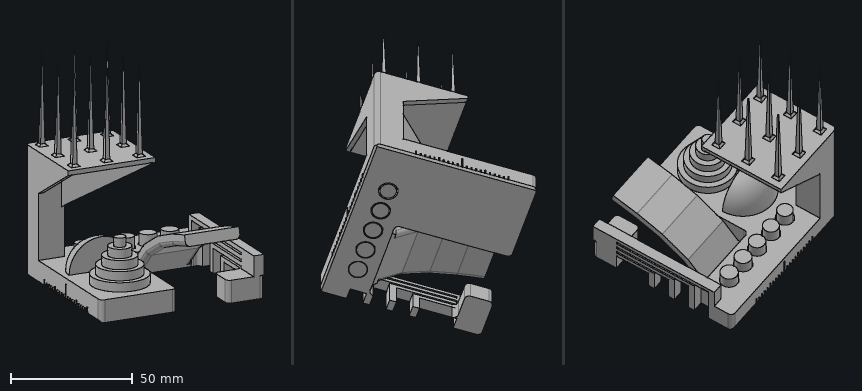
import cadquery as cq
import math

BASE_LENGTH = 70.0
BASE_WIDTH = 75.0
BASE_HEIGHT = 10.0
CORNER_RADIUS = 2.0
BOTTOM_CHAMFER = 1.0

OPENING_LEFT = 20.0
OPENING_FRONT = 35.0
RAMP_WIDTH = 25.0
SIDE_GAP = 5.0
ARM_LENGTH = 12.0
ARM_REACH = 17.0
RAMP_FRONT = OPENING_FRONT + SIDE_GAP
RAMP_BACK = RAMP_FRONT + RAMP_WIDTH
OPENING_BACK = RAMP_BACK + SIDE_GAP
ARM_LEFT = BASE_LENGTH - ARM_LENGTH
ARM_FRONT = BASE_WIDTH - ARM_REACH

RAMP_STEPS = [(45, 12.8), (30, 14.9), (20, 13.4), (15, 12.6)]
RAMP_THICKNESS = 5.0
RAMP_EDGE_RADIUS = 2.0

COLUMN_SIZE = 12.0
PLATE_SIZE = 40.0
PLATE_TOP = 57.0
PLATE_THICKNESS = 2.0
RIB_THICKNESS = 2.0
RIB_SLOPE = math.radians(30)

SPIKE_ROWS = 3
SPIKE_INSET = 5.0
SPIKE_PITCH = (PLATE_SIZE - 2 * SPIKE_INSET) / (SPIKE_ROWS - 1)
SPIKE_FOOT_SIZE = 4.0
SPIKE_FOOT_HEIGHT = 1.0
SPIKE_SIZE = 2.0
SPIKE_TIP_SIZE = 0.5
SPIKE_TOTAL_HEIGHT = 40.0

TOWER_X = 52.5
TOWER_Y = 17.5
TOWER_DIAMETERS = [25.0, 20.0, 15.0, 10.0, 5.0]
TOWER_HEIGHT = 20.0
DOME_FLAT_X = 34.9
DOME_RADIUS = 14.55

BRIDGE_COUNT = 4
BRIDGE_OUTER_LEFT = 9.0
BRIDGE_STEP = 10.0
BRIDGE_POST = 3.0
BRIDGE_BAR = 2.0
BRIDGE_GAP = 1.0

PIN_DIAMETERS = [7.6, 7.4, 7.2, 7.0, 6.8]
PIN_HOLE_DIAMETER = 8.0
PIN_HEIGHT = 15.0
PIN_X = 12.0
PIN_BACK_Y = 60.0
PIN_PITCH = 10.0

RULER_CENTRE = BASE_WIDTH / 2
RULER_LENGTH = 40.0
TICK_HALF_COUNT = 10
TICK_PITCH = RULER_LENGTH / (2 * TICK_HALF_COUNT)
TICKS_PER_MAJOR = 5
TICK_WIDTH = 0.5
TICK_DEPTH = 0.5
TICK_BOTTOM = 1.3
TICK_HEIGHT = 1.2
MAJOR_TICK_HEIGHT = 2.0
CENTRE_TICK_HEIGHT = 6.0


def block(x_min, x_max, y_min, y_max, z_min, z_max):
    """Axis-aligned box between the given limits."""
    size = (x_max - x_min, y_max - y_min, z_max - z_min)
    return cq.Workplane("XY").box(*size, centered=False).translate((x_min, y_min, z_min))


def rounded_block(x_min, x_max, y_min, y_max, z_min, z_max):
    """Box with all four vertical edges rounded."""
    return block(x_min, x_max, y_min, y_max, z_min, z_max).edges("|Z").fillet(CORNER_RADIUS)


def make_base():
    """Base plate with its C-shaped opening below the ramp and between the tower and the arm."""
    plate = rounded_block(0, BASE_LENGTH, 0, BASE_WIDTH, 0, BASE_HEIGHT)
    open_side = block(OPENING_LEFT, BASE_LENGTH, OPENING_FRONT, ARM_FRONT, 0, BASE_HEIGHT)
    back_slot = block(OPENING_LEFT, ARM_LEFT, OPENING_FRONT, OPENING_BACK, 0, BASE_HEIGHT)
    plate = plate.cut(open_side.union(back_slot))
    opening_corners = cq.selectors.BoxSelector(
        (OPENING_LEFT - CORNER_RADIUS, OPENING_FRONT - CORNER_RADIUS, 0),
        (BASE_LENGTH + CORNER_RADIUS, OPENING_BACK + CORNER_RADIUS / 2, BASE_HEIGHT),
    )
    return plate.edges("|Z").edges(opening_corners).fillet(CORNER_RADIUS)


def ramp_profile():
    """Corners of the ramp in the XZ plane: up the mitred lower side, back down the upper side."""
    slopes = [math.radians(slope) for slope, _ in RAMP_STEPS]
    x = OPENING_LEFT
    z = RAMP_THICKNESS / math.cos(slopes[0])
    upper = [(x, z)]
    lower = [(x, 0)]
    for index, slope in enumerate(slopes):
        length = RAMP_STEPS[index][1]
        x += length * math.cos(slope)
        z += length * math.sin(slope)
        next_slope = slopes[min(index + 1, len(slopes) - 1)]
        mitre_slope = (slope + next_slope) / 2
        mitre = RAMP_THICKNESS / math.cos((slope - next_slope) / 2)
        upper.append((x, z))
        lower.append((x + mitre * math.sin(mitre_slope), z - mitre * math.cos(mitre_slope)))
    return lower + upper[::-1]


def extruded_ramp(y_min, y_max):
    """Ramp profile extruded between two Y positions, with square edges."""
    profile = cq.Workplane("XZ").polyline(ramp_profile()).close()
    return profile.extrude(y_min - y_max).translate((0, y_min, 0))


def make_ramp():
    """Ramp of decreasing slope with rounded lower edges."""
    slab = extruded_ramp(RAMP_FRONT, RAMP_BACK)
    lower_edges = []
    corners = ramp_profile()[: len(RAMP_STEPS) + 1]
    for (x_start, z_start), (x_end, z_end) in zip(corners, corners[1:]):
        for y in (RAMP_FRONT, RAMP_BACK):
            middle = ((x_start + x_end) / 2, y, (z_start + z_end) / 2)
            lower_edges += slab.edges(cq.selectors.NearestToPointSelector(middle)).vals()
    return slab.newObject(lower_edges).fillet(RAMP_EDGE_RADIUS)


def make_root_fillets():
    """Concave fillets between the ramp's two sides and the base, within the ramp's thickness."""
    y_min = RAMP_FRONT - CORNER_RADIUS
    y_max = RAMP_BACK + CORNER_RADIUS
    arc_x = OPENING_LEFT + CORNER_RADIUS
    web = block(OPENING_LEFT, arc_x, y_min, y_max, 0, BASE_HEIGHT)
    arcs = cq.Workplane("XY").pushPoints([(arc_x, y_min), (arc_x, y_max)])
    web = web.cut(arcs.circle(CORNER_RADIUS).extrude(BASE_HEIGHT))
    return extruded_ramp(y_min, y_max).intersect(web)


def make_rib(length):
    """Triangular rib under the plate, centred on the X axis and thinning out to the given length."""
    top = PLATE_TOP - PLATE_THICKNESS
    triangle = [(0, top), (length, top), (0, top - length * math.tan(RIB_SLOPE))]
    return cq.Workplane("XZ").polyline(triangle).close().extrude(RIB_THICKNESS / 2, both=True)


def make_stand():
    """Column and plate with a rib along each outer side and one along the diagonal."""
    column = block(0, COLUMN_SIZE, 0, COLUMN_SIZE, 0, PLATE_TOP)
    plate = block(0, PLATE_SIZE, 0, PLATE_SIZE, PLATE_TOP - PLATE_THICKNESS, PLATE_TOP)
    side_rib = make_rib(PLATE_SIZE)
    rib_along_x = side_rib.translate((0, RIB_THICKNESS / 2, 0))
    rib_along_y = side_rib.rotate((0, 0, 0), (0, 0, 1), 90).translate((RIB_THICKNESS / 2, 0, 0))
    diagonal_rib = make_rib(PLATE_SIZE * math.sqrt(2)).rotate((0, 0, 0), (0, 0, 1), 45)
    stand = column.union(plate).union(rib_along_x).union(rib_along_y).union(diagonal_rib)
    envelope = block(0, PLATE_SIZE, 0, PLATE_SIZE, 0, PLATE_TOP)
    outer_corner = cq.selectors.NearestToPointSelector((0, 0, PLATE_TOP / 2))
    return stand.intersect(envelope.edges(outer_corner).fillet(CORNER_RADIUS))


def make_spike(x, y):
    """Slender square spike on a short pyramid foot."""
    foot = (
        cq.Workplane("XY")
        .rect(SPIKE_FOOT_SIZE, SPIKE_FOOT_SIZE)
        .workplane(offset=SPIKE_FOOT_HEIGHT)
        .rect(SPIKE_SIZE, SPIKE_SIZE)
        .loft(ruled=True)
    )
    shaft = (
        cq.Workplane("XY", origin=(0, 0, SPIKE_FOOT_HEIGHT))
        .rect(SPIKE_SIZE, SPIKE_SIZE)
        .workplane(offset=SPIKE_TOTAL_HEIGHT - SPIKE_FOOT_HEIGHT)
        .rect(SPIKE_TIP_SIZE, SPIKE_TIP_SIZE)
        .loft(ruled=True)
    )
    return foot.union(shaft).translate((x, y, PLATE_TOP))


def make_tower():
    """Stack of ever smaller discs of equal height."""
    step = TOWER_HEIGHT / len(TOWER_DIAMETERS)
    tower = cq.Workplane("XY")
    for index, diameter in enumerate(TOWER_DIAMETERS):
        disc = cq.Workplane("XY").circle(diameter / 2).extrude(step)
        tower = tower.add(disc.translate((TOWER_X, TOWER_Y, BASE_HEIGHT + index * step)))
    return tower.combine()


def make_dome():
    """Half of a dome, cut flat on the side that faces the tower."""
    ball = cq.Workplane("XY").sphere(DOME_RADIUS).translate((DOME_FLAT_X, TOWER_Y, BASE_HEIGHT))
    keep = block(
        DOME_FLAT_X - DOME_RADIUS, DOME_FLAT_X,
        TOWER_Y - DOME_RADIUS, TOWER_Y + DOME_RADIUS,
        BASE_HEIGHT, BASE_HEIGHT + DOME_RADIUS,
    )
    return ball.intersect(keep)


def bridge_top(index):
    """Height of a bridge's upper face; the innermost bridge is level with the base."""
    return BASE_HEIGHT + (BRIDGE_COUNT - 1 - index) * (BRIDGE_BAR + BRIDGE_GAP)


def back_block(x_min, x_max, z_min, z_max):
    """Block as deep as the strip along the back edge."""
    return block(x_min, x_max, OPENING_BACK, BASE_WIDTH, z_min, z_max)


def make_bridge_gap():
    """Part of the back strip that is cleared around the bridges."""
    return back_block(BRIDGE_OUTER_LEFT + BRIDGE_POST, ARM_LEFT, 0, BASE_HEIGHT)


def make_bridges():
    """Nested bridges, each a post and a bar, that share one solid end on the arm."""
    bridges = back_block(ARM_LEFT, BASE_LENGTH, BASE_HEIGHT, bridge_top(0))
    for index in range(BRIDGE_COUNT):
        left = BRIDGE_OUTER_LEFT + index * BRIDGE_STEP
        top = bridge_top(index)
        bridges = bridges.union(back_block(left, left + BRIDGE_POST, 0, top))
        bridges = bridges.union(back_block(left, ARM_LEFT, top - BRIDGE_BAR, top))
    return bridges


def make_pin_holes():
    """Equal through-holes for all the pins."""
    centres = [(PIN_X, PIN_BACK_Y - index * PIN_PITCH) for index in range(len(PIN_DIAMETERS))]
    return cq.Workplane("XY").pushPoints(centres).circle(PIN_HOLE_DIAMETER / 2).extrude(BASE_HEIGHT)


def make_bottom_chamfers():
    """Wedges that bevel the bottom edges below the two measuring sides."""
    wedge = [(0, 0), (BOTTOM_CHAMFER, 0), (0, BOTTOM_CHAMFER)]
    along_y = cq.Workplane("XZ").polyline(wedge).close().extrude(-BASE_WIDTH)
    along_x = cq.Workplane("YZ").polyline(wedge).close().extrude(BASE_LENGTH)
    return along_y.union(along_x)


def make_ruler_grooves():
    """Ruler ticks cut into the X = 0 and Y = 0 sides, taller at every fifth and at the centre."""
    grooves = cq.Workplane("XY")
    for index in range(-TICK_HALF_COUNT, TICK_HALF_COUNT + 1):
        if index == 0:
            height = CENTRE_TICK_HEIGHT
        elif index % TICKS_PER_MAJOR == 0:
            height = MAJOR_TICK_HEIGHT
        else:
            height = TICK_HEIGHT
        start = RULER_CENTRE + index * TICK_PITCH - TICK_WIDTH / 2
        end = start + TICK_WIDTH
        top = TICK_BOTTOM + height
        grooves = grooves.add(block(start, end, 0, TICK_DEPTH, TICK_BOTTOM, top))
        grooves = grooves.add(block(0, TICK_DEPTH, start, end, TICK_BOTTOM, top))
    return grooves.combine()


def make_test_piece():
    """The test piece: everything except the loose pins."""
    piece = make_base().cut(make_bridge_gap()).union(make_ramp()).union(make_root_fillets())
    piece = piece.union(make_stand()).union(make_tower()).union(make_dome()).union(make_bridges())
    for row in range(SPIKE_ROWS):
        for column in range(SPIKE_ROWS):
            x = SPIKE_INSET + column * SPIKE_PITCH
            y = SPIKE_INSET + row * SPIKE_PITCH
            piece = piece.union(make_spike(x, y))
    return piece.cut(make_pin_holes()).cut(make_bottom_chamfers()).cut(make_ruler_grooves())


def make_pin(index):
    """Loose pin that stands in its hole with all-round clearance."""
    pin = cq.Workplane("XY").circle(PIN_DIAMETERS[index] / 2).extrude(PIN_HEIGHT)
    return pin.translate((PIN_X, PIN_BACK_Y - index * PIN_PITCH, 0))


test_piece = make_test_piece()
pins = [make_pin(index) for index in range(len(PIN_DIAMETERS))]
result = cq.Compound.makeCompound([test_piece.val(), *[pin.val() for pin in pins]])